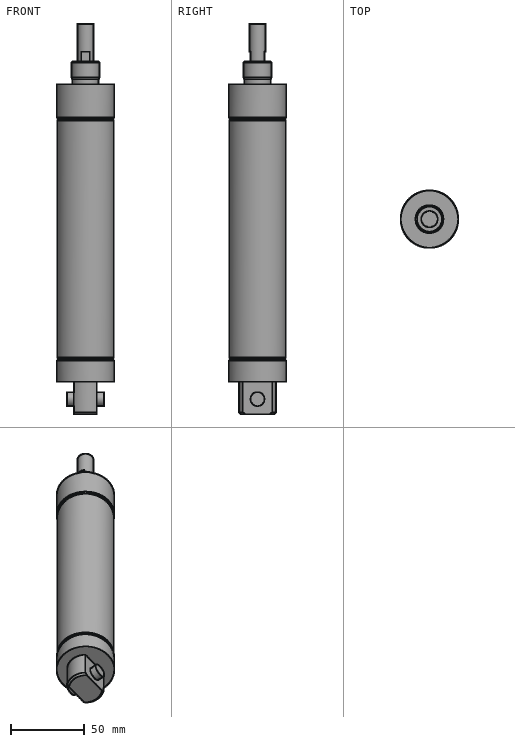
import cadquery as cq

total_height = 267.0
tang_height = 22.2
body_top = 225.8
nose_top = 241.5

cap_diameter = 39.5
tube_diameter = 39.0
lower_cap_top = 36.5
upper_cap_bottom = 203.1
crimp_width = 2.5
crimp_depth = 0.5
crimp_slope = 0.8

nose_diameter = 19.2
nose_chamfer = 1.0
relief_diameter = 18.2
relief_height = 3.2
relief_taper = 1.5

tang_diameter = 25.4
tang_thickness = 15.8
tang_chamfer = 1.3
pin_diameter = 9.5
pin_length = tang_diameter
pin_height = 10.5

rod_diameter = 11.2
rod_seat = body_top
rod_flat_distance = 9.5
rod_flat_height = 6.5


def cylinder(diameter, bottom, top):
    """Vertical cylinder on the Z axis."""
    return cq.Workplane("XY").workplane(offset=bottom).circle(diameter / 2).extrude(top - bottom)


def make_pin():
    """Pivot pin along X, centred in the tang."""
    return (
        cq.Workplane("YZ", origin=(-pin_length / 2, 0, pin_height))
        .circle(pin_diameter / 2)
        .extrude(pin_length)
    )


def make_rod():
    """Round piston rod with two wrench flats just above the nose."""
    rod = cylinder(rod_diameter, rod_seat, total_height)
    flat_band = cylinder(rod_diameter, nose_top, nose_top + rod_flat_height)
    kept_between_flats = cq.Workplane("XY", origin=(0, 0, nose_top)).box(
        rod_diameter, rod_flat_distance, rod_flat_height, centered=(True, True, False)
    )
    return rod.cut(flat_band.cut(kept_between_flats))


def make_tang():
    """Round stub with two flat cheeks and a chamfered lower rim."""
    stub = cylinder(tang_diameter, 0, tang_height).faces("<Z").chamfer(tang_chamfer)
    cheeks = cq.Workplane("XY").box(
        tang_thickness, tang_diameter, tang_height, centered=(True, True, False)
    )
    return stub.intersect(cheeks)


def make_barrel():
    """End caps, tube, crimp grooves and nose as one turned profile."""
    cap_radius = cap_diameter / 2
    tube_radius = tube_diameter / 2
    crimp_radius = tube_radius - crimp_depth
    nose_radius = nose_diameter / 2
    relief_radius = relief_diameter / 2
    relief_top = body_top + relief_height
    return (
        cq.Workplane("XZ")
        .moveTo(0, tang_height)
        .lineTo(cap_radius, tang_height)
        .lineTo(cap_radius, lower_cap_top)
        .lineTo(crimp_radius, lower_cap_top + crimp_slope)
        .lineTo(crimp_radius, lower_cap_top + crimp_width - crimp_slope)
        .lineTo(tube_radius, lower_cap_top + crimp_width)
        .lineTo(tube_radius, upper_cap_bottom - crimp_width)
        .lineTo(crimp_radius, upper_cap_bottom - crimp_width + crimp_slope)
        .lineTo(crimp_radius, upper_cap_bottom - crimp_slope)
        .lineTo(cap_radius, upper_cap_bottom)
        .lineTo(cap_radius, body_top)
        .lineTo(relief_radius, body_top)
        .lineTo(relief_radius, relief_top)
        .lineTo(nose_radius, relief_top + relief_taper)
        .lineTo(nose_radius, nose_top - nose_chamfer)
        .lineTo(nose_radius - nose_chamfer, nose_top)
        .lineTo(0, nose_top)
        .close()
        .revolve(360, (0, 0, 0), (0, 1, 0))
    )


def make_housing(rod, pin):
    """Barrel and tang in one piece, bored for the rod and the pin."""
    return make_barrel().union(make_tang()).cut(rod).cut(pin)


piston_rod = make_rod()
pivot_pin = make_pin()
housing = make_housing(piston_rod, pivot_pin)

result = cq.Compound.makeCompound([housing.val(), piston_rod.val(), pivot_pin.val()])